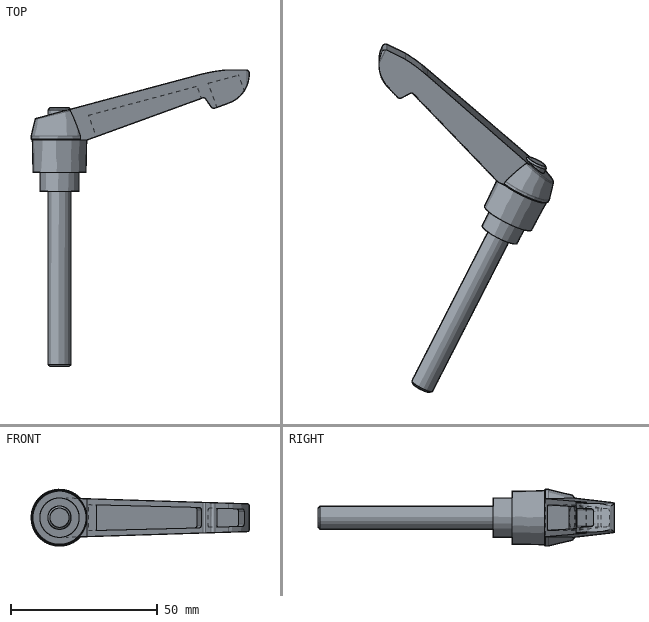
import cadquery as cq
import math


SCREW_RADIUS = 4.0
SCREW_LENGTH = 60.0
SCREW_HEAD_Y = 28.6
SCREW_CHAMFER = 0.7
BUSHING_DIAMETER = 13.5
BUSHING_RADIUS = BUSHING_DIAMETER / 2

HUB_BOTTOM_Y = 6.5
HUB_BOTTOM_RADIUS = 9.1
HUB_TOP_RADIUS = 9.35
COLLAR_BOTTOM_Y = 17.5
COLLAR_TOP_Y = 18.9
COLLAR_RADIUS = 9.745
CONE_HALF_ANGLE = 13.5
HUB_EDGE_RADIUS = 0.5
CONE_END_Y = 36.0

TOTAL_HEIGHT = 41.55
TOTAL_LENGTH = 74.75
TIP_X = TOTAL_LENGTH - COLLAR_RADIUS
TOP_ANGLE = 15.0
TOP_ARC_START_X = 47.5
TOP_ARC_START_Y = 39.83
TOP_ARC_RADIUS = 60.0
UNDERSIDE_ANGLE = 20.0
UNDERSIDE_START_X = 9.4
NOTCH_X = 49.6
NOTCH_ANGLE = 55.0
NOTCH_DEPTH_Y = 4.0
NOTCH_ROOT_RADIUS = 0.7
NOTCH_LIP_RADIUS = 1.2
GRIP_ARC_START_X = 57.9
TIP_TOP_RADIUS = 1.2

HANDLE_HALF_WIDTH = 6.82
HANDLE_TAPER = 0.0314
SIDE_MARGIN = 1.0
TIP_SIDE_RADIUS = 0.8

POCKET_TOP_WALL = 3.65
POCKET_TAPER = 0.025
MOUTH_OVERSHOOT = 6.0
ARM_POCKET_X = (12.6, 48.6)
ARM_POCKET_HALF_WIDTH = 4.7
ARM_POCKET_RADII = (0.3, 0.9)
GRIP_POCKET_X = (53.9, 64.0)
GRIP_POCKET_HALF_WIDTH = 4.55
GRIP_POCKET_RADII = (0.6, 0.9)

TOP_SLOPE = math.tan(math.radians(TOP_ANGLE))
UNDERSIDE_SLOPE = math.tan(math.radians(UNDERSIDE_ANGLE))
NOTCH_SLOPE = math.tan(math.radians(NOTCH_ANGLE))


def top_line_y(x):
    """Height of the sloping top plane, shared by the hub and the handle."""
    return TOP_ARC_START_Y + TOP_SLOPE * (x - TOP_ARC_START_X)


def underside_y(x):
    """Height of the handle underside between the hub and the notch."""
    return COLLAR_BOTTOM_Y + UNDERSIDE_SLOPE * (x - UNDERSIDE_START_X)


NOTCH_Y = underside_y(NOTCH_X)
LIP_X = NOTCH_X + NOTCH_DEPTH_Y / NOTCH_SLOPE
LIP_Y = NOTCH_Y - NOTCH_DEPTH_Y


def lip_line_y(x):
    """Height of the flat underside of the grip, outward of the notch."""
    return LIP_Y + UNDERSIDE_SLOPE * (x - LIP_X)


def edges_at(x, y):
    """Selector for the edges whose midpoint lies at a place in the side outline."""
    reach = 0.05
    low = (x - reach, y - reach, -COLLAR_RADIUS)
    high = (x + reach, y + reach, COLLAR_RADIUS)
    return cq.selectors.BoxSelector(low, high)


def tapered_plan(half_width, taper, end_x):
    """Prism along Y from the screw axis to an X position, narrowing along Z toward +X."""
    end_half_width = half_width - taper * end_x
    outline = [
        (0, -half_width),
        (end_x, -end_half_width),
        (end_x, end_half_width),
        (0, half_width),
    ]
    return cq.Workplane("XZ").polyline(outline).close().extrude(-2 * TOTAL_HEIGHT)


def extrude_side(outline):
    """Prism along Z, centred on the XY plane, from a closed side outline."""
    return outline.extrude(HANDLE_HALF_WIDTH + SIDE_MARGIN, both=True)


def make_hub():
    """Bushing, tapered hub, collar and cone, cut off along the sloping top plane."""
    cone_end_radius = COLLAR_RADIUS - (CONE_END_Y - COLLAR_TOP_Y) * math.tan(math.radians(CONE_HALF_ANGLE))
    collar_chamfer = COLLAR_RADIUS - HUB_TOP_RADIUS
    profile = [
        (0, 0),
        (BUSHING_RADIUS, 0),
        (BUSHING_RADIUS, HUB_BOTTOM_Y),
        (HUB_BOTTOM_RADIUS, HUB_BOTTOM_Y),
        (HUB_TOP_RADIUS, COLLAR_BOTTOM_Y),
        (COLLAR_RADIUS, COLLAR_BOTTOM_Y + collar_chamfer),
        (COLLAR_RADIUS, COLLAR_TOP_Y),
        (cone_end_radius, CONE_END_Y),
        (0, CONE_END_Y),
    ]
    hub = cq.Workplane("XY").polyline(profile).close().revolve(360, (0, 0), (0, 1))
    reach = 2 * COLLAR_RADIUS
    above_top = [
        (-reach, top_line_y(-reach)),
        (reach, top_line_y(reach)),
        (reach, 2 * TOTAL_HEIGHT),
        (-reach, 2 * TOTAL_HEIGHT),
    ]
    cutter = cq.Workplane("XY").polyline(above_top).close().extrude(reach, both=True)
    hub = hub.cut(cutter)
    return hub.faces(">Y").edges().fillet(HUB_EDGE_RADIUS)


def make_screw():
    """Screw running through the hub, chamfered at both ends."""
    screw = cq.Workplane("XZ", origin=(0, -SCREW_LENGTH, 0)).circle(SCREW_RADIUS)
    return screw.extrude(-(SCREW_LENGTH + SCREW_HEAD_Y)).edges().chamfer(SCREW_CHAMFER)


def make_handle():
    """Solid handle: the side outline narrowed to the tapered plan."""
    underside = math.radians(UNDERSIDE_ANGLE)
    arc_radius = (TIP_X - GRIP_ARC_START_X) / (1 - math.sin(underside))
    arc_start_y = lip_line_y(GRIP_ARC_START_X)
    arc_centre_y = arc_start_y + arc_radius * math.cos(underside)
    top = math.radians(TOP_ANGLE)
    top_arc_centre_x = TOP_ARC_START_X + TOP_ARC_RADIUS * math.sin(top)
    top_arc_centre_y = TOP_ARC_START_Y - TOP_ARC_RADIUS * math.cos(top)
    top_arc_end_x = top_arc_centre_x - math.sqrt(TOP_ARC_RADIUS**2 - (TOTAL_HEIGHT - top_arc_centre_y) ** 2)
    outline = (
        cq.Workplane("XY")
        .moveTo(0, COLLAR_BOTTOM_Y)
        .lineTo(UNDERSIDE_START_X, COLLAR_BOTTOM_Y)
        .lineTo(NOTCH_X, NOTCH_Y)
        .lineTo(LIP_X, LIP_Y)
        .lineTo(GRIP_ARC_START_X, arc_start_y)
        .radiusArc((TIP_X, arc_centre_y), -arc_radius)
        .lineTo(TIP_X, TOTAL_HEIGHT)
        .lineTo(top_arc_end_x, TOTAL_HEIGHT)
        .radiusArc((TOP_ARC_START_X, TOP_ARC_START_Y), -TOP_ARC_RADIUS)
        .lineTo(0, top_line_y(0))
        .close()
    )
    blade = extrude_side(outline)
    rounded_corners = [
        (NOTCH_X, NOTCH_Y, NOTCH_ROOT_RADIUS),
        (LIP_X, LIP_Y, NOTCH_LIP_RADIUS),
        (TIP_X, TOTAL_HEIGHT, TIP_TOP_RADIUS),
    ]
    for x, y, radius in rounded_corners:
        blade = blade.edges(edges_at(x, y)).fillet(radius)
    plan = tapered_plan(HANDLE_HALF_WIDTH, HANDLE_TAPER, TIP_X).edges("|Y and >X").fillet(TIP_SIDE_RADIUS)
    return blade.intersect(plan)


def along_wall(point, rise):
    """Point at a height above another, along a pocket wall square to the underside."""
    return point[0] - UNDERSIDE_SLOPE * rise, point[1] + rise


def floor_point(point):
    """Where the pocket wall through a point meets the pocket floor."""
    floor_drop = POCKET_TOP_WALL / math.cos(math.radians(TOP_ANGLE))
    gap = top_line_y(point[0]) - floor_drop - point[1]
    return along_wall(point, gap / (1 + TOP_SLOPE * UNDERSIDE_SLOPE))


def make_pocket(x_range, mouth_line_y, half_width, corner_radii):
    """Cutter square to the underside, with its floor parallel to the top plane.

    Both pairs of values run from the end near the hub to the end near the tip.
    """
    mouth_points = [(x, mouth_line_y(x)) for x in x_range]
    lower = [along_wall(point, -MOUTH_OVERSHOOT) for point in mouth_points]
    upper = [floor_point(point) for point in mouth_points]
    outline = cq.Workplane("XY").polyline(lower + upper[::-1]).close()
    pocket = extrude_side(outline).intersect(tapered_plan(half_width, POCKET_TAPER, TIP_X + MOUTH_OVERSHOOT))
    for low, high, radius in zip(lower, upper, corner_radii):
        middle_x = (low[0] + high[0]) / 2
        middle_y = (low[1] + high[1]) / 2
        pocket = pocket.edges(edges_at(middle_x, middle_y)).edges("not |Z").fillet(radius)
    return pocket


arm_pocket = make_pocket(ARM_POCKET_X, underside_y, ARM_POCKET_HALF_WIDTH, ARM_POCKET_RADII)
grip_pocket = make_pocket(GRIP_POCKET_X, lip_line_y, GRIP_POCKET_HALF_WIDTH, GRIP_POCKET_RADII)
handle = make_handle().cut(arm_pocket).cut(grip_pocket)
result = make_hub().union(handle).union(make_screw())